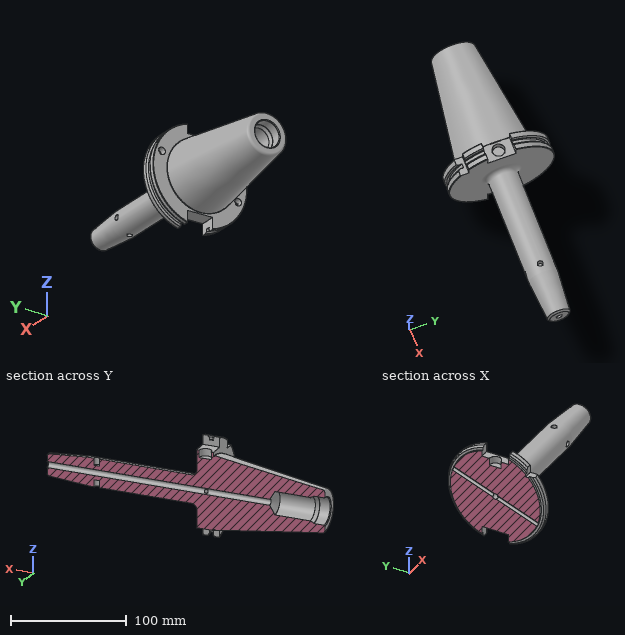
import cadquery as cq
import math

total_length = 261.8
gauge_x = 101.8
flange_start_x = 105.0
flange_end_x = 121.0
groove_center_x = 112.8
nose_start_x = 223.3
shank_hole_x = 215.0

taper_ratio = 7 / 24
gauge_radius = 70.0 / 2
small_end_radius = gauge_radius - gauge_x * taper_ratio / 2
small_end_round = 2.5
relief_width = 1.3
relief_depth = 0.5

flange_radius = 48.7
flange_chamfer = 0.5
groove_floor_radius = 89.8 / 2
groove_width = 3.7
groove_lead_depth = 1.5
groove_rear_lead = 1.0
groove_front_lead = 1.5

slot_width = 26.0
upper_slot_floor = 37.7
lower_slot_floor = 35.5
notch_offset = 30.4
chip_hole_diameter = 11.3
chip_hole_depth = 6.8

coolant_hole_circle_radius = 42.0
coolant_hole_diameter = 6.8
coolant_hole_depth = 6.8
coolant_hole_angle = 20.0
cross_hole_diameter = 3.5

shank_radius = 13.5
shank_fillet = 5.0
nose_end_radius = 10.5
nose_chamfer = 1.5
shank_hole_diameter = 5.0
shank_hole_depth = 6.5

mouth_radius = 13.3
counterbore_radius = 12.5
counterbore_depth = 10.5
entry_cone_radius = 12.3
entry_cone_end = 14.0
thread_radius = 10.7
thread_end = 47.0
drill_half_angle = 59.0
through_radius = 2.5


def revolve_about_x(outline):
    """Revolve a closed outline, drawn as (x, radius), around the X axis."""
    return outline.close().revolve(360, (0, 0, 0), (1, 0, 0))


def make_body():
    outline = (
        cq.Workplane("XY")
        .lineTo(0, small_end_radius)
        .lineTo(gauge_x, gauge_radius)
        .lineTo(flange_start_x - relief_width, gauge_radius)
        .lineTo(flange_start_x - relief_width / 2, gauge_radius - relief_depth)
        .lineTo(flange_start_x, gauge_radius - relief_depth)
        .lineTo(flange_start_x, flange_radius - flange_chamfer)
        .lineTo(flange_start_x + flange_chamfer, flange_radius)
        .lineTo(flange_end_x - flange_chamfer, flange_radius)
        .lineTo(flange_end_x, flange_radius - flange_chamfer)
        .lineTo(flange_end_x, shank_radius + shank_fillet)
        .radiusArc((flange_end_x + shank_fillet, shank_radius), -shank_fillet)
        .lineTo(nose_start_x, shank_radius)
        .lineTo(total_length, nose_end_radius)
        .lineTo(total_length, 0)
    )
    body = revolve_about_x(outline)
    body = body.faces("<X").edges().fillet(small_end_round)
    return body.faces(">X").edges().chamfer(nose_chamfer)


def make_groove():
    rear_x = groove_center_x - groove_width / 2
    front_x = groove_center_x + groove_width / 2
    lead_radius = flange_radius - groove_lead_depth
    outline = (
        cq.Workplane("XY")
        .moveTo(rear_x, groove_floor_radius)
        .lineTo(rear_x, lead_radius)
        .lineTo(rear_x - groove_rear_lead, flange_radius)
        .lineTo(front_x + groove_front_lead, flange_radius)
        .lineTo(front_x, lead_radius)
        .lineTo(front_x, groove_floor_radius)
    )
    return revolve_about_x(outline)


def make_bore():
    cone_length = (thread_radius - through_radius) / math.tan(math.radians(drill_half_angle))
    mouth_chamfer = mouth_radius - counterbore_radius
    outline = (
        cq.Workplane("XY")
        .lineTo(0, mouth_radius)
        .lineTo(mouth_chamfer, counterbore_radius)
        .lineTo(counterbore_depth, counterbore_radius)
        .lineTo(counterbore_depth, entry_cone_radius)
        .lineTo(entry_cone_end, thread_radius)
        .lineTo(thread_end, thread_radius)
        .lineTo(thread_end + cone_length, through_radius)
        .lineTo(total_length, through_radius)
        .lineTo(total_length, 0)
    )
    return revolve_about_x(outline)


def rim_block(y_min, y_max, z_min, z_max):
    """Block as long as the flange, for cutting its rim."""
    return cq.Workplane("XY").box(
        flange_end_x - flange_start_x, y_max - y_min, z_max - z_min, centered=False
    ).translate((flange_start_x, y_min, z_min))


def make_rim_cuts():
    half_slot = slot_width / 2
    upper_slot = rim_block(-half_slot, half_slot, upper_slot_floor, flange_radius)
    lower_slot = rim_block(-half_slot, half_slot, -flange_radius, -lower_slot_floor)
    notch = rim_block(-flange_radius, -notch_offset, notch_offset, flange_radius)
    return upper_slot.union(lower_slot).union(notch)


def make_chip_hole():
    return (
        cq.Workplane("XY", origin=(groove_center_x, 0, upper_slot_floor))
        .circle(chip_hole_diameter / 2)
        .extrude(-chip_hole_depth)
    )


def make_coolant_holes():
    radius = coolant_hole_diameter / 2
    point_x = coolant_hole_depth + radius / math.tan(math.radians(drill_half_angle))
    outline = (
        cq.Workplane("XY")
        .lineTo(0, radius)
        .lineTo(coolant_hole_depth, radius)
        .lineTo(point_x, 0)
    )
    hole = revolve_about_x(outline).translate((flange_start_x, coolant_hole_circle_radius, 0))
    cross_hole = (
        cq.Workplane("XZ", origin=(groove_center_x, 0, 0))
        .circle(cross_hole_diameter / 2)
        .extrude(-groove_floor_radius)
    )
    first_hole = hole.union(cross_hole).rotate((0, 0, 0), (1, 0, 0), coolant_hole_angle)
    return first_hole.union(first_hole.rotate((0, 0, 0), (1, 0, 0), 180))


def make_shank_holes():
    hole = (
        cq.Workplane("XY", origin=(shank_hole_x, 0, shank_radius))
        .circle(shank_hole_diameter / 2)
        .extrude(-shank_hole_depth)
    )
    holes = hole
    for angle in (90, 180, 270):
        holes = holes.union(hole.rotate((0, 0, 0), (1, 0, 0), angle))
    return holes


result = (
    make_body()
    .cut(make_groove())
    .cut(make_bore())
    .cut(make_rim_cuts())
    .cut(make_chip_hole())
    .cut(make_coolant_holes())
    .cut(make_shank_holes())
)